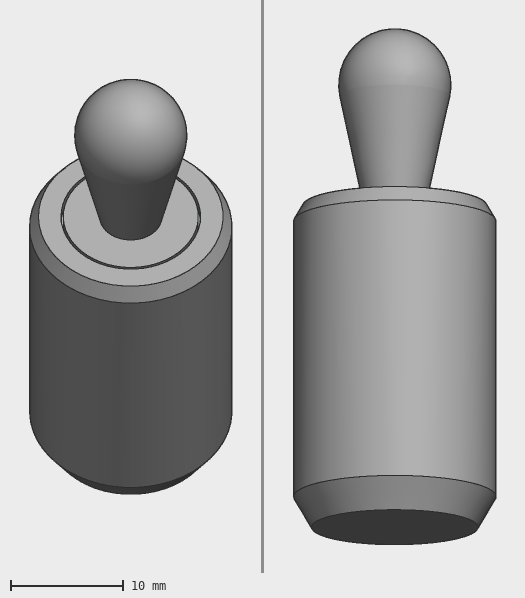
import cadquery as cq
import math

housing_diameter = 18.0
housing_height = 29.2
housing_radius = housing_diameter / 2
chamfer_slope = math.tan(math.radians(60))
top_chamfer_width = 0.8
bottom_chamfer_width = 1.6

seal_radius = 6.0
seal_thickness = 2.0
seal_clearance = 0.2
clearance_depth = seal_thickness / 2
seal_bottom = housing_height - seal_thickness

ball_radius = 5.0
pin_top = 45.2
pin_half_angle = math.radians(12)
ball_center_height = pin_top - ball_radius
tangent_radius = ball_radius * math.cos(pin_half_angle)
tangent_height = ball_center_height - ball_radius * math.sin(pin_half_angle)


def cone_radius(height):
    """Radius of the pin's cone at a given height."""
    return tangent_radius - (tangent_height - height) * math.tan(pin_half_angle)


def make_housing():
    """Cylinder with both rims chamfered and a stepped recess for the seal."""
    bottom_chamfer_height = bottom_chamfer_width * chamfer_slope
    top_chamfer_height = top_chamfer_width * chamfer_slope
    body = (
        cq.Workplane("XZ")
        .moveTo(0, 0)
        .lineTo(housing_radius - bottom_chamfer_width, 0)
        .lineTo(housing_radius, bottom_chamfer_height)
        .lineTo(housing_radius, housing_height - top_chamfer_height)
        .lineTo(housing_radius - top_chamfer_width, housing_height)
        .lineTo(0, housing_height)
        .close()
        .revolve(360, (0, 0, 0), (0, 1, 0))
    )
    top = cq.Workplane("XY").workplane(offset=housing_height)
    seat = top.circle(seal_radius).extrude(-seal_thickness)
    clearance = top.circle(seal_radius + seal_clearance).extrude(-clearance_depth)
    return body.cut(seat).cut(clearance)


def make_pin():
    """Ball-ended pin whose cone reaches down through the seal."""
    return (
        cq.Workplane("XZ")
        .moveTo(0, seal_bottom)
        .lineTo(cone_radius(seal_bottom), seal_bottom)
        .lineTo(tangent_radius, tangent_height)
        .threePointArc((ball_radius, ball_center_height), (0, pin_top))
        .close()
        .revolve(360, (0, 0, 0), (0, 1, 0))
    )


def make_seal(pin):
    """Disc with a tapered hole that fits around the pin."""
    bottom = cq.Workplane("XY").workplane(offset=seal_bottom)
    disc = bottom.circle(seal_radius).extrude(seal_thickness)
    return disc.cut(pin)


housing = make_housing()
pin = make_pin()
seal = make_seal(pin)

result = cq.Compound.makeCompound([housing.val(), seal.val(), pin.val()])